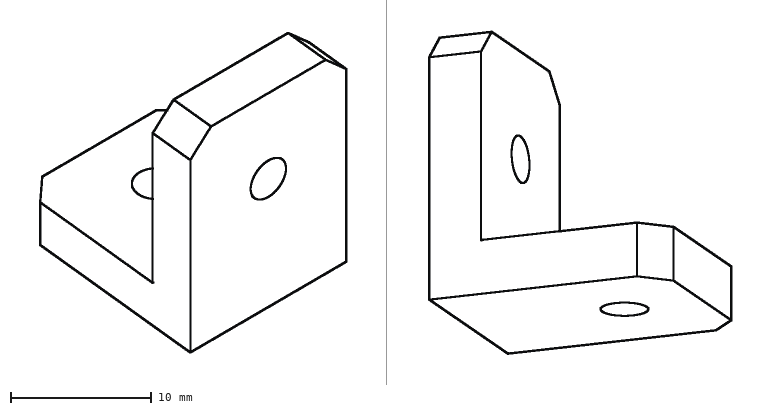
import cadquery as cq

length = 18.0
width = 15.0
height = 20.0

thickness = 4.0
corner_chamfer = 2.0

hole_diameter = 3.4
base_hole_from_tip = 6.0
wall_hole_from_tip = 8.0


def chamfered_base():
    """Horizontal leg with its two free corners cut off."""
    base = cq.Workplane("XY").box(length, width, thickness, centered=(False, True, False))
    return base.edges("|Z and <X").chamfer(corner_chamfer)


def chamfered_wall():
    """Vertical leg at the +X end with its two top corners cut off."""
    wall = (
        cq.Workplane("XY")
        .box(thickness, width, height, centered=(False, True, False))
        .translate((length - thickness, 0, 0))
    )
    return wall.edges("|X and >Z").chamfer(corner_chamfer)


def base_hole():
    """Vertical cutter through the base."""
    return (
        cq.Workplane("XY")
        .center(base_hole_from_tip, 0)
        .circle(hole_diameter / 2)
        .extrude(thickness)
    )


def wall_hole():
    """Cutter along X through the wall."""
    return (
        cq.Workplane("YZ", origin=(length - thickness, 0, 0))
        .center(0, height - wall_hole_from_tip)
        .circle(hole_diameter / 2)
        .extrude(thickness)
    )


bracket = chamfered_base().union(chamfered_wall())
result = bracket.cut(base_hole()).cut(wall_hole())